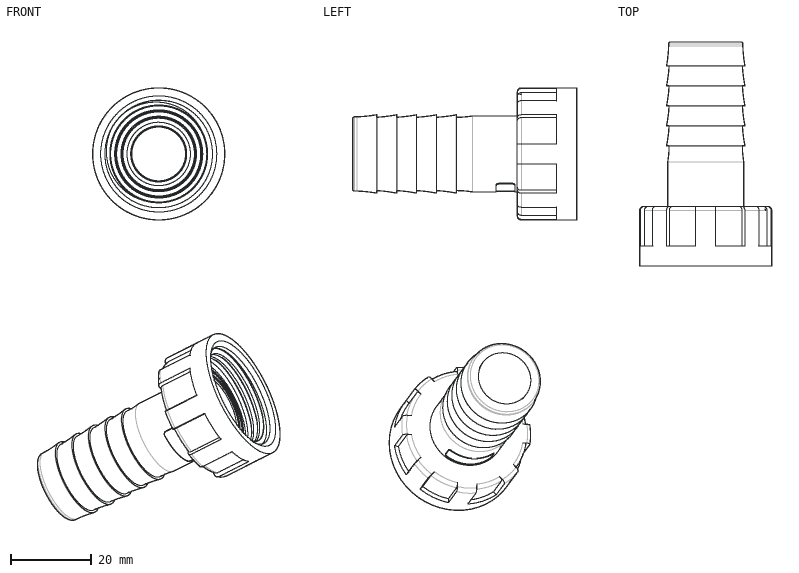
import cadquery as cq


length = 55.9

nut_radius = 16.5
nut_length = 14.85
nut_edge_radius = 1.0
grip_start = 5.05
grip_depth = 1.0
grip_radius = nut_radius - grip_depth
lug_count = 8
lug_width = 5.0
mouth_radius = 14.5
mouth_depth = 1.0
relief_radius = 13.4
thread_start = 2.0
nut_bore_radius = 12.2

thread_pitch = 1.8
thread_root_radius = 13.35
groove_mouth_width = 1.1
groove_root_width = 0.1
groove_angle = -140.0
groove_lead_in = 1.7
groove_overlap = 0.3
thread_end_margin = 0.55

gasket_radius = 24.0 / 2
gasket_bore_radius = 15.8 / 2
gasket_front = 7.4
gasket_back = 10.05
ridge_outer_radii = (18.85 / 2, 21.95 / 2)
ridge_width = 0.5
ridge_height = ridge_width / 2

flange_height = 2.45
tube_radius = 9.5
flange_end = gasket_back + flange_height
flange_radius = gasket_radius
tip_radius = 9.3
barb_root_radius = 9.15
barb_crest_radius = 9.8
barb_crest_width = 0.1
barb_hollow = 0.085
barb_count = 5
barb_pitch = 5.0
first_barb = 29.95
tube_end = 26.0
tip_round = 0.5
tip_land = 1.05
tail_bore_radius = 7.0
tail_bore_end_radius = 6.7

label_width = 11.6
label_start = 15.45
label_length = 4.7
label_depth = 0.15
label_corner_radius = 0.65


def revolve_about_y(profile):
    return profile.close().revolve(360, (0, 0, 0), (0, 1, 0))


def make_grip():
    """Rear part of the nut: a reduced cylinder with straight-sided lugs, rounded at its end."""
    grip_length = nut_length - grip_start
    plane = cq.Workplane("XZ", origin=(0, nut_length, 0))
    core = plane.circle(grip_radius).extrude(grip_length).faces(">Y").edges().fillet(nut_edge_radius)
    lug_disc = plane.circle(nut_radius).extrude(grip_length).faces(">Y").edges().fillet(nut_edge_radius)
    bar = plane.rect(lug_width, 2 * nut_radius).extrude(grip_length)
    bars = bar
    for index in range(1, lug_count // 2):
        bars = bars.union(bar.rotate((0, 0, 0), (0, 1, 0), index * 360 / lug_count))
    return core.union(lug_disc.intersect(bars))


def make_nut_cavity():
    """Tapered mouth, relief, thread bore and the smaller hole around the tube."""
    return revolve_about_y(
        cq.Workplane("XY")
        .lineTo(mouth_radius, 0)
        .lineTo(relief_radius, mouth_depth)
        .lineTo(relief_radius, thread_start)
        .lineTo(nut_bore_radius, thread_start)
        .lineTo(nut_bore_radius, flange_end)
        .lineTo(tube_radius, flange_end)
        .lineTo(tube_radius, nut_length)
        .lineTo(0, nut_length)
    )


def make_thread_groove():
    """Right-hand helical groove, made along Z and then laid along Y."""
    start = thread_start - groove_lead_in
    height = gasket_front - thread_end_margin - start
    inner_radius = nut_bore_radius - groove_overlap
    half_mouth = groove_mouth_width / 2
    half_root = groove_root_width / 2
    flank_slope = (half_mouth - half_root) / (thread_root_radius - nut_bore_radius)
    half_inner = half_mouth + flank_slope * groove_overlap
    helix = cq.Wire.makeHelix(thread_pitch, height, inner_radius)
    groove = (
        cq.Workplane("XZ")
        .moveTo(inner_radius, -half_inner)
        .lineTo(thread_root_radius, -half_root)
        .lineTo(thread_root_radius, half_root)
        .lineTo(inner_radius, half_inner)
        .close()
        .sweep(cq.Workplane(helix), isFrenet=True)
    )
    start_angle = groove_angle - 360 * groove_lead_in / thread_pitch
    return (
        groove.rotate((0, 0, 0), (0, 0, 1), start_angle)
        .translate((0, 0, start))
        .rotate((0, 0, 0), (1, 0, 0), -90)
    )


def make_nut():
    collar = cq.Workplane("XZ", origin=(0, grip_start, 0)).circle(nut_radius).extrude(grip_start)
    return collar.union(make_grip()).cut(make_nut_cavity()).cut(make_thread_groove())


def make_gasket():
    """Flat ring with two pointed sealing ridges on its front face."""
    profile = cq.Workplane("XY").moveTo(gasket_bore_radius, gasket_front)
    for outer in ridge_outer_radii:
        profile = (
            profile.lineTo(outer - ridge_width, gasket_front)
            .lineTo(outer - ridge_width / 2, gasket_front - ridge_height)
            .lineTo(outer, gasket_front)
        )
    return revolve_about_y(
        profile.lineTo(gasket_radius, gasket_front)
        .lineTo(gasket_radius, gasket_back)
        .lineTo(gasket_bore_radius, gasket_back)
    )


def make_label_recess():
    """Shallow rounded rectangle that follows the curve of the tube."""
    label_middle = label_start + label_length / 2
    block = (
        cq.Workplane("XY", origin=(0, label_middle, -nut_radius))
        .rect(label_width, label_length)
        .extrude(nut_radius)
        .edges("|Z")
        .fillet(label_corner_radius)
    )
    floor = cq.Workplane("XZ").circle(tube_radius - label_depth).extrude(-length)
    return block.cut(floor)


def make_hose_tail():
    """Barbed tube with a flange that the nut holds against the gasket."""
    profile = (
        cq.Workplane("XY")
        .moveTo(tail_bore_radius, gasket_back)
        .lineTo(flange_radius, gasket_back)
        .lineTo(flange_radius, flange_end)
        .lineTo(tube_radius, flange_end)
        .lineTo(tube_radius, tube_end)
    )
    profile = profile.sagittaArc((barb_root_radius, first_barb), barb_hollow)
    for index in range(barb_count):
        barb = first_barb + index * barb_pitch
        is_last = index == barb_count - 1
        flank_end = (tip_radius, length - tip_land) if is_last else (barb_root_radius, barb + barb_pitch)
        profile = (
            profile.lineTo(barb_crest_radius, barb)
            .lineTo(barb_crest_radius, barb + barb_crest_width)
            .sagittaArc(flank_end, barb_hollow)
        )
    return revolve_about_y(
        profile.lineTo(tip_radius, length - tip_round)
        .radiusArc((tip_radius - tip_round, length), -tip_round)
        .lineTo(tail_bore_end_radius, length)
    ).cut(make_label_recess())


nut = make_nut()
gasket = make_gasket()
hose_tail = make_hose_tail()

result = cq.Compound.makeCompound([nut.solids().val(), gasket.solids().val(), hose_tail.solids().val()])